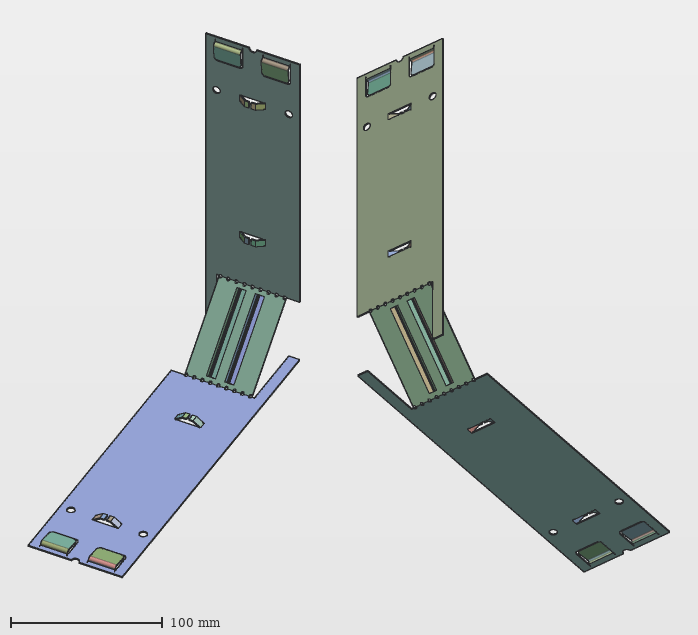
import cadquery as cq
import math


panel_length = 253.4
panel_width = 70.0
sheet = 1.0
fold_distance = 50.0
leg_edge = 26.9

strap_width = 50.0
perforation_count = 9
perforation_span = 48.0
perforation_diameter = 2.3
bend_angle = 45.0

rib_offset = 6.8
rib_foot_width = 6.8
rib_top_width = 2.0
rib_rise = 2.3
rib_slit = 0.5
rib_end_margin = 3.8

outer_bridge_distance = 208.0
inner_bridge_distance = 91.0
bridge_foot_width = 19.5
bridge_top_width = 8.0
bridge_rise = 3.8
bridge_slit = 1.8
bridge_length = 5.0

hole_diameter = 5.5
hole_offset = 26.9
notch_diameter = 5.5

tab_offset = 17.7
tab_width = 20.0
tab_side_gap = 0.3
tab_tip_distance = 235.4
tab_wall_distance = 249.5
tab_height = 4.0
tab_tilt = 5.5
tab_bend_radius = 2.0
tab_corner_radius = 2.5
window_start = 233.3
window_end = 250.8
window_corner_radius = 2.0


def lanced_bridge(plane, foot_width, top_width, rise, slit, length):
    """Return the sheet opening and the two raised flaps facing each other over it.

    The plane lies on the underside of the sheet, with its x axis across the bridge.
    """
    opening = cq.Workplane(plane).rect(foot_width, length).extrude(sheet)

    foot = foot_width / 2
    slope = rise / (foot - top_width / 2)
    sloped_sheet = sheet * math.hypot(1, slope)
    inner_foot = foot - (sloped_sheet - sheet) / slope
    inner_top = inner_foot - rise / slope

    section_plane = cq.Plane(origin=plane.origin, xDir=plane.xDir, normal=-plane.yDir)
    flap = (
        cq.Workplane(section_plane)
        .moveTo(foot, 0)
        .lineTo(foot, sheet)
        .lineTo(top_width / 2, sheet + rise)
        .lineTo(slit / 2, sheet + rise)
        .lineTo(slit / 2, rise)
        .lineTo(inner_top, rise)
        .lineTo(inner_foot, 0)
        .close()
        .extrude(length / 2, both=True)
    )
    opposite_flap = flap.rotate(plane.origin, plane.origin + plane.zDir, 180)
    return opening, flap.union(opposite_flap)


def clip_tab(center_x):
    """Return the tab window and the tab bent up out of it."""
    window_length = window_end - window_start
    window = (
        cq.Workplane("XY")
        .center(center_x, -(window_start + window_end) / 2)
        .rect(tab_width + 2 * tab_side_gap, window_length)
        .extrude(sheet)
        .edges("|Z and >Y")
        .fillet(window_corner_radius)
    )

    tilt = math.radians(tab_tilt)
    reach = tab_wall_distance - tab_tip_distance
    inner_drop = sheet / math.cos(tilt)
    inner_wall = tab_wall_distance - sheet
    inner_height = tab_height - sheet * math.tan(tilt) - inner_drop
    tip_height = tab_height - reach * math.tan(tilt)
    inner_tip = tab_tip_distance + sheet * math.sin(tilt)
    tab = (
        cq.Workplane("YZ")
        .moveTo(-window_end, 0)
        .lineTo(-window_end, sheet)
        .lineTo(-tab_wall_distance, sheet)
        .lineTo(-tab_wall_distance, tab_height)
        .lineTo(-tab_tip_distance, tip_height)
        .lineTo(-inner_tip, tip_height - sheet * math.cos(tilt))
        .lineTo(-inner_wall, inner_height)
        .lineTo(-inner_wall, 0)
        .close()
        .extrude(tab_width / 2, both=True)
    )

    def bend_edge(distance, height):
        return cq.selectors.NearestToPointSelector((0, -distance, height))

    tab = tab.edges(bend_edge(tab_wall_distance, tab_height)).fillet(tab_bend_radius)
    tab = tab.edges(bend_edge(inner_wall, inner_height)).fillet(tab_bend_radius - sheet)
    tab = tab.faces(">Y").edges("not |X").fillet(tab_corner_radius)
    return window, tab.translate((center_x, 0, 0))


def base_panel():
    """Return one panel lying flat, with its tabs, bridges, holes and notch."""
    panel = (
        cq.Workplane("XY")
        .center(0, -(sheet + panel_length) / 2)
        .rect(panel_width, panel_length - sheet)
        .extrude(sheet)
    )

    cut_width = panel_width / 2 + leg_edge
    strap_space = (
        cq.Workplane("XY")
        .center(leg_edge - cut_width / 2, -fold_distance / 2)
        .rect(cut_width, fold_distance)
        .extrude(sheet)
    )
    panel = panel.cut(strap_space)

    holes = (
        cq.Workplane("XY")
        .pushPoints([(side * hole_offset, -outer_bridge_distance) for side in (-1, 1)])
        .circle(hole_diameter / 2)
        .extrude(sheet)
    )
    notch = cq.Workplane("XY").center(0, -panel_length).circle(notch_diameter / 2).extrude(sheet)
    panel = panel.cut(holes).cut(notch)

    for distance in (inner_bridge_distance, outer_bridge_distance):
        opening, flaps = lanced_bridge(
            cq.Plane(origin=(0, -distance, 0)),
            bridge_foot_width,
            bridge_top_width,
            bridge_rise,
            bridge_slit,
            bridge_length,
        )
        panel = panel.cut(opening).union(flaps)

    for side in (-1, 1):
        window, tab = clip_tab(side * tab_offset)
        panel = panel.cut(window).union(tab)
    return panel


def folded_strap():
    """Return the sloping strap between the two folds, with its two ribs."""
    outer_fold = fold_distance - sheet * math.tan(math.radians(bend_angle / 2))
    strap = (
        cq.Workplane("YZ")
        .moveTo(-sheet, fold_distance)
        .lineTo(-fold_distance, sheet)
        .lineTo(-fold_distance, 0)
        .lineTo(-outer_fold, 0)
        .lineTo(0, outer_fold)
        .lineTo(0, fold_distance)
        .close()
        .extrude(strap_width / 2, both=True)
    )

    rib_length = (fold_distance - sheet) * math.sqrt(2) - 2 * rib_end_margin
    for side in (-1, 1):
        rib_plane = cq.Plane(
            origin=(side * rib_offset, -outer_fold / 2, outer_fold / 2),
            xDir=(1, 0, 0),
            normal=(0, -1, 1),
        )
        opening, flaps = lanced_bridge(
            rib_plane, rib_foot_width, rib_top_width, rib_rise, rib_slit, rib_length
        )
        strap = strap.cut(opening).union(flaps)
    return strap


def turn_upright(shape):
    """Swap the base and upright positions by half a turn about the corner bisector."""
    return shape.rotate((0, 0, 0), (0, -1, 1), 180)


def fold_perforations():
    """Return the row of pins that perforates the base fold, square to the base panel."""
    pitch = perforation_span / (perforation_count - 1)
    return (
        cq.Workplane("XY")
        .center(0, -fold_distance)
        .rarray(pitch, 2.5, perforation_count, 1)
        .circle(perforation_diameter / 2)
        .extrude(2 * sheet, both=True)
    )


base = base_panel()
perforations = fold_perforations()
result = (
    base.union(turn_upright(base))
    .union(folded_strap())
    .cut(perforations)
    .cut(turn_upright(perforations))
)